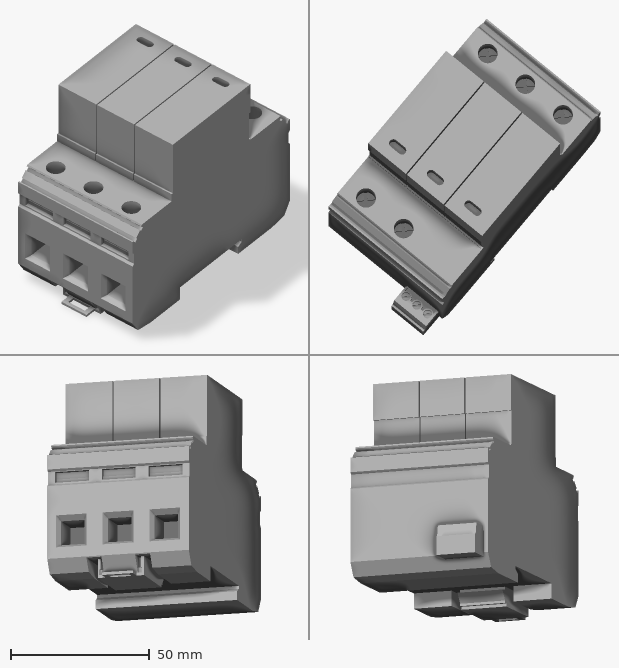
import cadquery as cq

OVERALL_LENGTH = 99.1
WIDTH = 53.4
DEPTH = 89.5
HOUSING_TOP = 49.3
POLE_XS = (-17.6, 0, 17.6)

RAIL_FRONT = 26.9
RAIL_REAR = 62.1
RAIL_CEILING = 5.6
HOOK_REACH = 2.1
HOOK_UPPER_Z = 4.5
HOOK_LOWER_Z = 3.3

SLOPE_TOP_Z = 6.0
SLOPE_BOTTOM_Y = 3.2
SLOPE_BOTTOM_Z = 1.0
BELLY_START_Y = 10.2

GROOVE_DEPTH = 0.9
GROOVE_BOTTOM_Z = 32.9
GROOVE_TOP_Z = 39.0
GROOVE_FLANK = 0.7
LABEL_WIDTH = 12.8
LABEL_BOTTOM_Z = 34.2
LABEL_TOP_Z = 38.2
LABEL_DEPTH = 1.6
LABEL_STEP_Z = 35.7
LABEL_STEP = 0.4

MODULE_TOP = 75.4
MODULE_FRONT = 22.2
MODULE_REAR = 67.0
FRONT_STEP = 0.7
FRONT_STEP_Z = 52.6
REAR_NOTCH_DEPTH = 0.7
REAR_NOTCH_BOTTOM = 49.8
REAR_NOTCH_TOP = 62.1
MODULE_GAP = 0.5

INDICATOR_LENGTH = 7.1
INDICATOR_WIDTH = 3.1
INDICATOR_Y = 61.2
INDICATOR_DEPTH = 5

SCREW_DIAMETER = 7.1
SCREW_INSET = 10.3
SCREW_DEPTH = 7.9
CROSS_WIDTH = 1.2
CROSS_DEPTH = 1

ENTRY_BOTTOM_Z = 11.2
ENTRY_WIDTH = 8.8
MOUTH_BOTTOM_Z = 10.1
MOUTH_TOP_Z = 21.9
MOUTH_WIDTH = 11.6
MOUTH_DEPTH = 2
ENTRY_DEPTH = 13.9

CHANNEL_INNER = 6.3
CHANNEL_OUTER = 12.0
CLIP_FRONT = 3.7
CLIP_REAR = 25.6
CLIP_BOTTOM = -1.4
CLIP_HALF_WIDTH = 8.7
ARM_INNER = 7.6
PLATE_TOP = -0.3
PAD_OUTER = 8.0
PAD_TOP = 1.7
PAD_FRONT = 4.7
CARRIER_FRONT = 5.9
TAB_TIP = -0.8
TAB_HALF_WIDTH = 5.8
TAB_TOP = -0.4
TAB_SLOT_LENGTH = 7.7
TAB_SLOT_FRONT = 0.7
CATCH_REACH = 2.7
CATCH_UPPER_Z = 4.7
CATCH_TIP_Z = 4.2
CATCH_LOWER_Z = 0.6

CONNECTOR_LEFT = -25.1
CONNECTOR_WIDTH = 15.0
CONNECTOR_REAR = TAB_TIP + OVERALL_LENGTH
CONNECTOR_BOTTOM = 4.5
CONNECTOR_TOP = 15.7
CONNECTOR_LEDGE_Z = 11.4
CONNECTOR_SLANT_FOOT = 97.5
CONNECTOR_SLANT_TOP = 96.7
POST_REAR = 90.2
POST_WIDTH = 0.8
RECESS_REAR = 93.2
RECESS_FLOOR = 14.0
SMALL_SCREW_Y = 93.0
SMALL_SCREW_PITCH = 5.1
SMALL_SCREW_RADIUS = 1.6
SMALL_SCREW_DEPTH = 1
COLLAR_RADIUS = 2.1
DRIVER_SLOT_WIDTH = 0.7
DRIVER_SLOT_DEPTH = 0.5


def box(x0, x1, y0, y1, z0, z1):
    """Box between two opposite corners."""
    return cq.Workplane("XY").box(x1 - x0, y1 - y0, z1 - z0, centered=False).translate((x0, y0, z0))


def profile_solid(points, x0, x1):
    """Solid with a (Y, Z) outline running from x0 to x1."""
    return cq.Workplane("YZ").workplane(offset=x0).polyline(points).close().extrude(x1 - x0)


def slot_bar(x, y, length, width, angle, z_top, depth):
    """Straight screwdriver groove cutter centred on (x, y)."""
    bar = box(-length / 2, length / 2, -width / 2, width / 2, z_top - depth, z_top)
    return bar.rotate((0, 0, 0), (0, 0, 1), angle).translate((x, y, 0))


def cylinder(x, y, radius, z0, z1):
    """Vertical cylinder from z0 to z1."""
    return cq.Workplane("XY", origin=(x, y, z0)).circle(radius).extrude(z1 - z0)


def housing():
    end_wall = [
        (BELLY_START_Y, 0),
        (SLOPE_BOTTOM_Y, SLOPE_BOTTOM_Z),
        (0, SLOPE_TOP_Z),
        (0, GROOVE_BOTTOM_Z),
        (GROOVE_DEPTH, GROOVE_BOTTOM_Z + GROOVE_FLANK),
        (GROOVE_DEPTH, GROOVE_TOP_Z - GROOVE_FLANK),
        (0, GROOVE_TOP_Z),
        (0, 44.4),
        (0.6, 44.4),
        (1.5, 43.3),
        (2.7, 44.4),
        (2.1, 45.0),
        (4.3, 47.2),
        (4.9, 46.6),
        (5.9, 47.7),
        (5.3, 48.2),
        (4.9, 48.7),
        (5.3, HOUSING_TOP),
    ]
    rear_wall = [(DEPTH - inset, z) for inset, z in reversed(end_wall)]
    rail_slot = [
        (RAIL_REAR - HOOK_REACH, 0),
        (RAIL_REAR - HOOK_REACH, HOOK_LOWER_Z),
        (RAIL_REAR, HOOK_UPPER_Z),
        (RAIL_REAR, RAIL_CEILING),
        (RAIL_FRONT, RAIL_CEILING),
        (RAIL_FRONT, 0),
    ]
    return profile_solid(end_wall + rear_wall + rail_slot, -WIDTH / 2, WIDTH / 2)


def modules():
    outline = [
        (MODULE_FRONT, HOUSING_TOP),
        (MODULE_FRONT, FRONT_STEP_Z),
        (MODULE_FRONT + FRONT_STEP, FRONT_STEP_Z),
        (MODULE_FRONT + FRONT_STEP, MODULE_TOP),
        (MODULE_REAR, MODULE_TOP),
        (MODULE_REAR, REAR_NOTCH_TOP),
        (MODULE_REAR - REAR_NOTCH_DEPTH, REAR_NOTCH_TOP),
        (MODULE_REAR - REAR_NOTCH_DEPTH, REAR_NOTCH_BOTTOM),
        (MODULE_REAR, REAR_NOTCH_BOTTOM),
        (MODULE_REAR, HOUSING_TOP),
    ]
    block = profile_solid(outline, -WIDTH / 2, WIDTH / 2)
    for left, right in zip(POLE_XS, POLE_XS[1:]):
        x = (left + right) / 2
        gap = box(x - MODULE_GAP / 2, x + MODULE_GAP / 2, MODULE_FRONT, MODULE_REAR, HOUSING_TOP, MODULE_TOP)
        block = block.cut(gap)
    indicators = (
        cq.Workplane("XY", origin=(0, INDICATOR_Y, MODULE_TOP))
        .pushPoints([(x, 0) for x in POLE_XS])
        .slot2D(INDICATOR_LENGTH, INDICATOR_WIDTH)
        .extrude(-INDICATOR_DEPTH)
    )
    return block.cut(indicators)


def screw_hole(x, y):
    """Blind screw hole with a cross recess in its floor."""
    floor = HOUSING_TOP - SCREW_DEPTH
    hole = cylinder(x, y, SCREW_DIAMETER / 2, floor, HOUSING_TOP)
    recess = cylinder(x, y, SCREW_DIAMETER / 2, floor - CROSS_DEPTH, floor)
    cross = slot_bar(x, y, SCREW_DIAMETER, CROSS_WIDTH, 45, floor, CROSS_DEPTH)
    cross = cross.union(slot_bar(x, y, SCREW_DIAMETER, CROSS_WIDTH, -45, floor, CROSS_DEPTH))
    return hole.union(recess.intersect(cross))


def cable_entry(x):
    """Square pocket in the front wall with a flared mouth."""
    mouth_z = (MOUTH_BOTTOM_Z + MOUTH_TOP_Z) / 2
    entry_z = ENTRY_BOTTOM_Z + ENTRY_WIDTH / 2
    mouth = (
        cq.Workplane("XZ", origin=(x, 0, 0))
        .center(0, mouth_z)
        .rect(MOUTH_WIDTH, MOUTH_TOP_Z - MOUTH_BOTTOM_Z)
        .workplane(offset=-MOUTH_DEPTH)
        .center(0, entry_z - mouth_z)
        .rect(ENTRY_WIDTH, ENTRY_WIDTH)
        .loft(ruled=True)
    )
    half = ENTRY_WIDTH / 2
    pocket = box(x - half, x + half, MOUTH_DEPTH, ENTRY_DEPTH, ENTRY_BOTTOM_Z, ENTRY_BOTTOM_Z + ENTRY_WIDTH)
    return mouth.union(pocket)


def label_pocket(x):
    """Pocket whose back wall steps further in above a small ledge."""
    left = x - LABEL_WIDTH / 2
    right = x + LABEL_WIDTH / 2
    back = GROOVE_DEPTH + LABEL_DEPTH
    pocket = box(left, right, 0, back, LABEL_BOTTOM_Z, LABEL_TOP_Z)
    return pocket.union(box(left, right, 0, back + LABEL_STEP, LABEL_STEP_Z, LABEL_TOP_Z))


def clip_channels():
    """Openings on both sides of the clip, from the front wall to the rail slot."""
    right = box(CHANNEL_INNER, CHANNEL_OUTER, 0, RAIL_FRONT, 0, RAIL_CEILING)
    return right.union(right.mirror("YZ"))


def rail_clip():
    plate = box(-CLIP_HALF_WIDTH, CLIP_HALF_WIDTH, CLIP_FRONT, CLIP_REAR, CLIP_BOTTOM, PLATE_TOP)
    steepness = (SLOPE_TOP_Z - SLOPE_BOTTOM_Z) / SLOPE_BOTTOM_Y
    core_outline = [
        (0, SLOPE_TOP_Z),
        ((SLOPE_TOP_Z - PLATE_TOP) / steepness, PLATE_TOP),
        (CLIP_REAR, PLATE_TOP),
        (CLIP_REAR, SLOPE_TOP_Z),
    ]
    core = profile_solid(core_outline, -CHANNEL_INNER, CHANNEL_INNER)
    carrier = box(
        -CLIP_HALF_WIDTH, CLIP_HALF_WIDTH, CARRIER_FRONT, RAIL_FRONT, PLATE_TOP, RAIL_CEILING
    )
    arm = box(ARM_INNER, CLIP_HALF_WIDTH, CLIP_FRONT, CARRIER_FRONT, PLATE_TOP, RAIL_CEILING)
    relief = box(ARM_INNER, PAD_OUTER, CLIP_FRONT, PAD_FRONT, PLATE_TOP, PAD_TOP)
    pad = box(CHANNEL_INNER, PAD_OUTER, PAD_FRONT, CARRIER_FRONT, PLATE_TOP, PAD_TOP)
    side = arm.cut(relief).union(pad)
    tab = box(-TAB_HALF_WIDTH, TAB_HALF_WIDTH, TAB_TIP, CLIP_FRONT, CLIP_BOTTOM, TAB_TOP)
    tab_slot = box(
        -TAB_SLOT_LENGTH / 2, TAB_SLOT_LENGTH / 2, TAB_SLOT_FRONT, CLIP_FRONT, CLIP_BOTTOM, TAB_TOP
    )
    catch_outline = [
        (RAIL_FRONT, CATCH_UPPER_Z),
        (RAIL_FRONT + CATCH_REACH, CATCH_TIP_Z),
        (RAIL_FRONT, CATCH_LOWER_Z),
    ]
    catch = profile_solid(catch_outline, -CLIP_HALF_WIDTH, CLIP_HALF_WIDTH)
    clip = plate.union(core).union(carrier).union(side).union(side.mirror("YZ"))
    return clip.union(tab.cut(tab_slot)).union(catch)


def connector():
    outline = [
        (DEPTH, CONNECTOR_BOTTOM),
        (CONNECTOR_REAR, CONNECTOR_BOTTOM),
        (CONNECTOR_REAR, CONNECTOR_LEDGE_Z),
        (CONNECTOR_SLANT_FOOT, CONNECTOR_LEDGE_Z),
        (CONNECTOR_SLANT_TOP, CONNECTOR_TOP),
        (DEPTH, CONNECTOR_TOP),
    ]
    right = CONNECTOR_LEFT + CONNECTOR_WIDTH
    body = profile_solid(outline, CONNECTOR_LEFT, right)
    recess = box(
        CONNECTOR_LEFT + POST_WIDTH, right - POST_WIDTH, DEPTH, RECESS_REAR, RECESS_FLOOR, CONNECTOR_TOP
    )
    body = body.cut(recess)
    body = body.cut(box(CONNECTOR_LEFT, right, DEPTH, POST_REAR, RECESS_FLOOR, CONNECTOR_TOP))
    middle = CONNECTOR_LEFT + CONNECTOR_WIDTH / 2
    screw_top = CONNECTOR_TOP - SMALL_SCREW_DEPTH
    for step in (-1, 0, 1):
        x = middle + step * SMALL_SCREW_PITCH
        body = body.union(cylinder(x, SMALL_SCREW_Y, COLLAR_RADIUS, RECESS_FLOOR, CONNECTOR_TOP))
        body = body.cut(cylinder(x, SMALL_SCREW_Y, SMALL_SCREW_RADIUS, screw_top, CONNECTOR_TOP))
        groove = slot_bar(
            x, SMALL_SCREW_Y, 2 * SMALL_SCREW_RADIUS, DRIVER_SLOT_WIDTH, 45, screw_top, DRIVER_SLOT_DEPTH
        )
        body = body.cut(groove)
    return body


result = housing().union(modules()).cut(clip_channels())
for pole_x in POLE_XS:
    result = result.cut(label_pocket(pole_x)).cut(cable_entry(pole_x))
    result = result.cut(screw_hole(pole_x, SCREW_INSET))
for pole_x in POLE_XS[1:]:
    result = result.cut(screw_hole(pole_x, DEPTH - SCREW_INSET))
result = result.union(rail_clip()).union(connector())